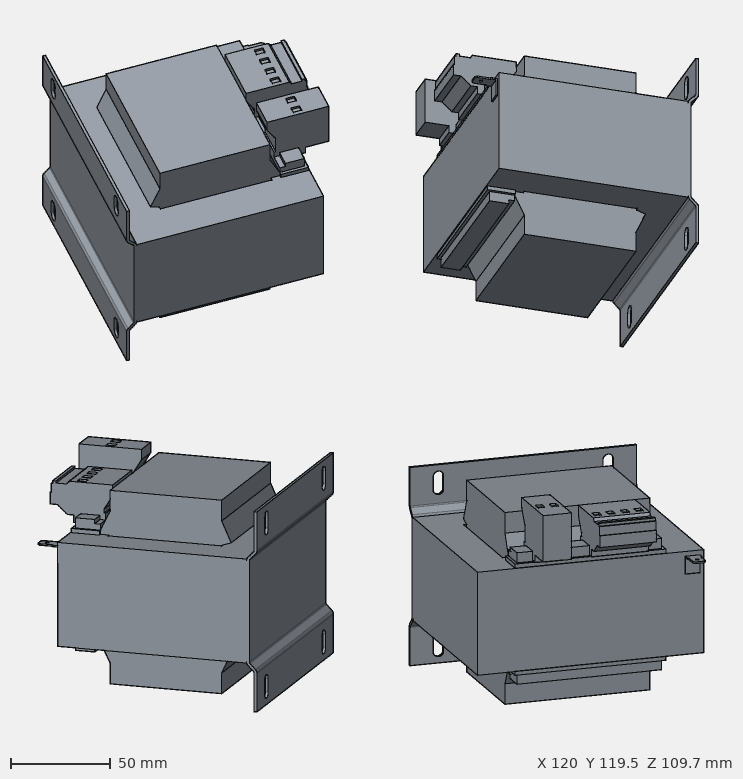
import cadquery as cq
import math


width = 120.0
core_height = 54.0
yoke = 20.0
strap_thickness = 1.5
strap_offset = 4.0
core_depth = 100.0

half_core = core_height / 2
core_front = strap_offset + strap_thickness
core_back = core_front + core_depth
window_front = core_front + yoke
window_back = core_back - yoke
window_width = width - 2 * yoke

coil_width = 76.8
coil_half_height = 50.3
coil_front = 25.9
coil_back = 85.0
flare_start = 39.5
flare_end = 28.5
flare = 4.7

flange_half_height = 52.0
bend_height = 30.7
inner_bend_radius = 1.0
outer_bend_radius = inner_bend_radius + strap_thickness
slot_length = 12.2
slot_width = 5.5
slot_spacing_x = 90.0
slot_spacing_z = 85.0

base_top = 29.2
base_front = window_back + flare
base_back = 105.0
block_back = 103.3
block_step = 93.1
block_top = 34.5
block_low_top = 32.3

terminal_width = 15.0
terminal_front = 86.4
terminal_back = 119.5
terminal_bottom = 33.4
foot_back = 107.0
foot_bottom = 29.5
front_face_height = 5.4
undercut_depth = 4.7
undercut_drop = 7.7
neck_top = 35.8
low_top = 50.8
tall_top = 57.7
groove_front = 109.5
groove_slope = 1.3
groove_depth = 1.5
lip_front = 116.4
lip_back = 118.2
lip_drop = 0.5
strip_top = 48.8
strip_back = 119.0
back_step_height = 44.2
back_chamfer_height = 38.0
back_chamfer_y = 115.7
bottom_chamfer_y = 110.4
low_starts = (-2 * terminal_width, -terminal_width)
tall_starts = (terminal_width,)
wire_hole_spacing = 7.3
wire_hole_width = 3.4
wire_hole_length = 4.5
wire_hole_depth = 1.2
wire_hole_y = 103.5

tab_x = -53.9
tab_thickness = 0.8
tab_top = 24.7
tab_plate_width = 7.7
tab_plate_height = 9.4
tab_shoulder_y = 109.2
tab_width = 6.5
tab_end = 117.1
tab_corner = 1.1
tab_bend_radius = 0.7
tab_hole_diameter = 1.7
tab_hole_y = 113.0


def box(x_range, y_range, z_range):
    """Box spanning the given (low, high) ranges."""
    (x0, x1), (y0, y1), (z0, z1) = x_range, y_range, z_range
    return cq.Workplane("XY").box(x1 - x0, y1 - y0, z1 - z0, centered=False).translate((x0, y0, z0))


def centred(size, middle=0.0):
    """(low, high) range of the given size about its middle."""
    return (middle - size / 2, middle + size / 2)


def extrude_along_x(points, x_range):
    """Prism whose (Y, Z) outline runs across the X range."""
    x0, x1 = x_range
    return cq.Workplane("YZ").polyline(points).close().extrude(x1 - x0).translate((x0, 0, 0))


def mirrored_in_z(shape):
    """The shape joined with its reflection below the core."""
    return shape.union(shape.mirror("XY"))


def make_core():
    core = box(centred(width), (core_front, core_back), centred(core_height))
    window = box(centred(window_width), (window_front, window_back), centred(core_height))
    return core.cut(window)


def make_coil():
    upper_half = [
        (window_front, 0),
        (window_front, half_core),
        (window_front - flare, flare_end),
        (coil_front, flare_start),
        (coil_front, coil_half_height),
        (coil_back, coil_half_height),
        (coil_back, flare_start),
        (base_front, base_top),
        (base_front, half_core),
        (window_back, half_core),
        (window_back, 0),
    ]
    return mirrored_in_z(extrude_along_x(upper_half, centred(coil_width)))


def make_strap():
    mitre = strap_thickness * math.tan(math.radians(22.5))
    web_bend_height = bend_height - strap_offset
    upper_half = [
        (strap_offset, 0),
        (strap_offset, web_bend_height),
        (0, bend_height),
        (0, flange_half_height),
        (strap_thickness, flange_half_height),
        (strap_thickness, bend_height + mitre),
        (core_front, web_bend_height + mitre),
        (core_front, 0),
    ]
    half = extrude_along_x(upper_half, centred(width))

    def bend_edge(y, z):
        return cq.selectors.NearestToPointSelector((0, y, z))

    half = half.edges(bend_edge(strap_offset, web_bend_height)).fillet(inner_bend_radius)
    half = half.edges(bend_edge(strap_thickness, bend_height + mitre)).fillet(inner_bend_radius)
    half = half.edges(bend_edge(0, bend_height)).fillet(outer_bend_radius)
    half = half.edges(bend_edge(core_front, web_bend_height + mitre)).fillet(outer_bend_radius)
    slots = (
        cq.Workplane("XZ")
        .rarray(slot_spacing_x, slot_spacing_z, 2, 2)
        .slot2D(slot_length, slot_width, 90)
        .extrude(-strap_thickness)
    )
    return mirrored_in_z(half).cut(slots)


def make_bobbin_ends():
    base = box(centred(window_width), (base_front, base_back), (half_core, base_top))
    low = box(centred(coil_width), (base_front, block_back), (base_top, block_low_top))
    tall = box(centred(coil_width), (block_step, block_back), (base_top, block_top))
    return mirrored_in_z(base.union(low).union(tall))


def terminal_front_and_foot(top):
    """Outline points from the foot, up the undercut front, to the front top corner."""
    face_bottom = top - front_face_height
    neck_front = terminal_front + undercut_depth
    return [
        (foot_back, terminal_bottom),
        (foot_back, foot_bottom),
        (base_front, foot_bottom),
        (base_front, neck_top),
        (neck_front, neck_top),
        (neck_front, face_bottom - undercut_drop),
        (terminal_front, face_bottom),
        (terminal_front, top),
    ]


def make_terminal(x_start, top, back_points):
    """One two-pole terminal; back_points close the outline from the top round to the foot."""
    outline = terminal_front_and_foot(top) + back_points
    body = extrude_along_x(outline, (x_start, x_start + terminal_width))
    x_middle = x_start + terminal_width / 2
    for side in (-1, 1):
        hole = box(
            centred(wire_hole_width, x_middle + side * wire_hole_spacing / 2),
            centred(wire_hole_length, wire_hole_y),
            (top - wire_hole_depth, top),
        )
        body = body.cut(hole)
    return body


def make_earth_tab():
    plate = box(
        centred(tab_plate_width, tab_x),
        (core_back, core_back + tab_thickness),
        (tab_top - tab_plate_height, tab_top),
    )
    shoulder = box(
        centred(tab_plate_width, tab_x),
        (core_back, tab_shoulder_y),
        (tab_top - tab_thickness, tab_top),
    )
    blade = box(
        centred(tab_width, tab_x),
        (tab_shoulder_y, tab_end),
        (tab_top - tab_thickness, tab_top),
    )
    blade = blade.edges("|Z and >Y").chamfer(tab_corner)
    hole = (
        cq.Workplane("XY", origin=(tab_x, tab_hole_y, tab_top))
        .circle(tab_hole_diameter / 2)
        .extrude(-tab_thickness)
    )
    bracket = plate.union(shoulder)
    bracket = bracket.edges("|X and >Z and <Y").fillet(tab_bend_radius)
    return bracket.union(blade).cut(hole)


tall_back = [(terminal_back, tall_top), (terminal_back, terminal_bottom)]
low_back = [
    (groove_front, low_top),
    (groove_front + groove_slope, low_top - groove_depth),
    (lip_front, low_top - groove_depth),
    (lip_front, low_top - lip_drop),
    (lip_back, low_top - lip_drop),
    (lip_back, strip_top),
    (strip_back, strip_top),
    (strip_back, back_step_height),
    (terminal_back, back_step_height),
    (terminal_back, back_chamfer_height),
    (back_chamfer_y, back_chamfer_height),
    (bottom_chamfer_y, terminal_bottom),
]

result = make_core().union(make_coil()).union(make_strap()).union(make_bobbin_ends())
for start in low_starts:
    result = result.union(make_terminal(start, low_top, low_back))
for start in tall_starts:
    result = result.union(make_terminal(start, tall_top, tall_back))
result = result.union(make_earth_tab())